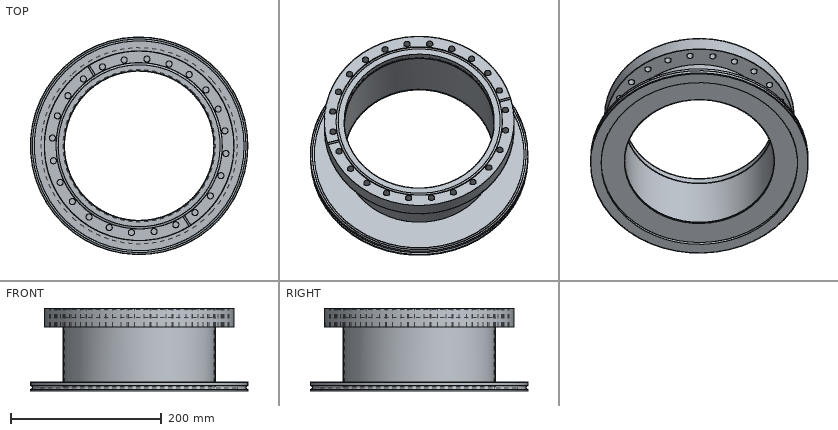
import cadquery as cq
import math

total_height = 110.0
axis_start = (0, 0)
axis_end = (0, 1)

tube_outer_radius = 101.3
tube_inner_radius = 99.3

flange_bore_radius = 99.8

clamp_radius = 144.7
clamp_thickness = 12.0
clamp_socket_floor = 6.5
seal_recess_radius = 130.5
seal_recess_depth = 4.3
rim_groove_radius = 2.5
rim_groove_height = 5.0
face_groove_outer_radius = 142.0
face_groove_inner_radius = 139.5
face_groove_depth = 0.5

bolt_flange_radius = 126.2
bolt_flange_thickness = 25.0
bolt_flange_underside = total_height - bolt_flange_thickness
underside_chamfer = 0.3
upper_bore_depth = 12.2
top_socket_ceiling = total_height - upper_bore_depth

recess_radius = 110.5
knife_edge_radius = 107.7
knife_edge_depth = 0.5
knife_slope_angle = 20.0
knife_slope_drop = (recess_radius - knife_edge_radius) * math.tan(math.radians(knife_slope_angle))
recess_depth = knife_edge_depth + knife_slope_drop

bolt_count = 24
bolt_spacing = 360.0 / bolt_count
bolt_circle_radius = 115.8
bolt_hole_diameter = 8.0
first_bolt_angle = -65.1
leak_slot_count = 2
leak_slot_width = 2.5
leak_slot_depth = 0.5


def revolve_profile(sketch):
    """Close a radius/height outline and turn it about the Z axis."""
    return sketch.close().revolve(360, axis_start, axis_end)


def make_tube():
    """Plain tube whose ends sit in the sockets of the two flanges."""
    length = top_socket_ceiling - clamp_socket_floor
    return (
        cq.Workplane("XY", origin=(0, 0, clamp_socket_floor))
        .circle(tube_outer_radius)
        .circle(tube_inner_radius)
        .extrude(length)
    )


def make_clamp_flange():
    """Wide bottom flange with a half-round rim groove, a shallow top groove and a seal recess below."""
    face_groove_floor = clamp_thickness - face_groove_depth
    outline = (
        cq.Workplane("XZ")
        .moveTo(flange_bore_radius, seal_recess_depth)
        .lineTo(seal_recess_radius, seal_recess_depth)
        .lineTo(seal_recess_radius, 0)
        .lineTo(clamp_radius, 0)
        .lineTo(clamp_radius, rim_groove_height - rim_groove_radius)
        .threePointArc(
            (clamp_radius - rim_groove_radius, rim_groove_height),
            (clamp_radius, rim_groove_height + rim_groove_radius),
        )
        .lineTo(clamp_radius, clamp_thickness)
        .lineTo(face_groove_outer_radius, clamp_thickness)
        .lineTo(face_groove_outer_radius, face_groove_floor)
        .lineTo(face_groove_inner_radius, face_groove_floor)
        .lineTo(face_groove_inner_radius, clamp_thickness)
        .lineTo(tube_outer_radius, clamp_thickness)
        .lineTo(tube_outer_radius, clamp_socket_floor)
        .lineTo(flange_bore_radius, clamp_socket_floor)
    )
    return revolve_profile(outline)


def make_bolt_flange_blank():
    """Top flange with tube socket, gasket recess and knife edge."""
    outline = (
        cq.Workplane("XZ")
        .moveTo(tube_outer_radius, bolt_flange_underside)
        .lineTo(bolt_flange_radius - underside_chamfer, bolt_flange_underside)
        .lineTo(bolt_flange_radius, bolt_flange_underside + underside_chamfer)
        .lineTo(bolt_flange_radius, total_height)
        .lineTo(recess_radius, total_height)
        .lineTo(recess_radius, total_height - recess_depth)
        .lineTo(knife_edge_radius, total_height - knife_edge_depth)
        .lineTo(flange_bore_radius, total_height - knife_edge_depth)
        .lineTo(flange_bore_radius, top_socket_ceiling)
        .lineTo(tube_outer_radius, top_socket_ceiling)
    )
    return revolve_profile(outline)


def make_bolt_holes():
    """Ring of through holes, the first one on the X axis."""
    return (
        cq.Workplane("XY", origin=(0, 0, bolt_flange_underside))
        .polarArray(bolt_circle_radius, 0, 360, bolt_count)
        .circle(bolt_hole_diameter / 2)
        .extrude(bolt_flange_thickness)
    )


def make_leak_slot(angle):
    """Shallow radial slot from the gasket recess out through the rim."""
    inner_end = (recess_radius + knife_edge_radius) / 2
    return (
        cq.Workplane("XY", origin=(0, 0, total_height - leak_slot_depth))
        .moveTo((inner_end + bolt_flange_radius) / 2, 0)
        .rect(bolt_flange_radius - inner_end, leak_slot_width)
        .extrude(leak_slot_depth)
        .rotate((0, 0, 0), (0, 0, 1), angle)
    )


def make_bolt_flange():
    """Top flange with leak slots midway between bolt holes, turned to its place about the Z axis."""
    flange = make_bolt_flange_blank().cut(make_bolt_holes())
    for index in range(leak_slot_count):
        angle = bolt_spacing / 2 + index * 360.0 / leak_slot_count
        flange = flange.cut(make_leak_slot(angle))
    return flange.rotate((0, 0, 0), (0, 0, 1), first_bolt_angle)


tube = make_tube()
clamp_flange = make_clamp_flange()
bolt_flange = make_bolt_flange()

result = cq.Compound.makeCompound([tube.val(), clamp_flange.val(), bolt_flange.val()])